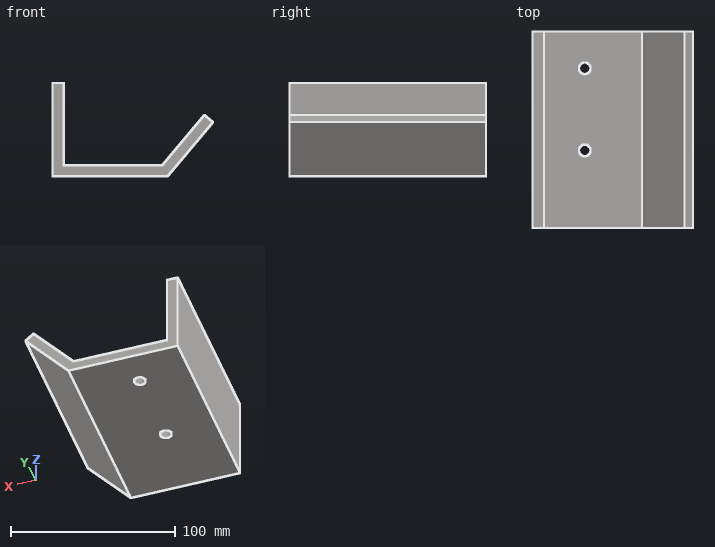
import cadquery as cq
import math

length = 120.0
thickness = 7.0
wall_height = 57.0
floor_width = 60.0
flange_length = 40.0
flange_angle = 50.0

hole_diameter = 7.0
hole_wall_offset = 25.0
hole_end_offset = 22.5
hole_spacing = 50.0

slope = math.radians(flange_angle)
inner_bend_x = thickness + floor_width
outer_bend_x = inner_bend_x + thickness * math.tan(slope / 2)
inner_tip_x = inner_bend_x + flange_length * math.cos(slope)
inner_tip_z = thickness + flange_length * math.sin(slope)
outer_tip_x = inner_tip_x + thickness * math.sin(slope)
outer_tip_z = inner_tip_z - thickness * math.cos(slope)


def bent_channel():
    """Upright wall, floor and sloped flange, extruded from Y = 0 to Y = length."""
    outline = [
        (0, 0),
        (outer_bend_x, 0),
        (outer_tip_x, outer_tip_z),
        (inner_tip_x, inner_tip_z),
        (inner_bend_x, thickness),
        (thickness, thickness),
        (thickness, wall_height),
        (0, wall_height),
    ]
    return cq.Workplane("XZ").polyline(outline).close().extrude(-length)


def floor_holes():
    """Cylinders for the two mounting holes through the floor."""
    hole_x = thickness + hole_wall_offset
    first_y = length - hole_end_offset
    centers = [(hole_x, first_y - i * hole_spacing) for i in range(2)]
    return cq.Workplane("XY").pushPoints(centers).circle(hole_diameter / 2).extrude(thickness)


result = bent_channel().cut(floor_holes())